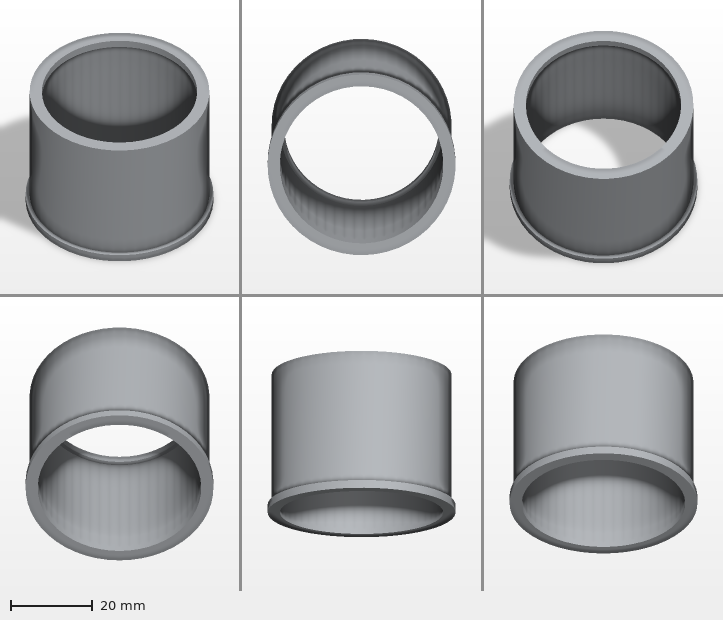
import cadquery as cq

total_height = 35.0
flange_diameter = 46.0
flange_thickness = 2.0
body_diameter = 44.0

bore_diameter = 40.0
lip_diameter = 38.0
lip_thickness = 2.0


def cylinder(diameter, height):
    """Solid cylinder standing on the XY plane."""
    return cq.Workplane("XY").circle(diameter / 2).extrude(height)


sleeve = cylinder(body_diameter, total_height).union(cylinder(flange_diameter, flange_thickness))

wide_bore = cylinder(bore_diameter, total_height - lip_thickness)
lip_opening = cylinder(lip_diameter, total_height)

result = sleeve.cut(wide_bore).cut(lip_opening)